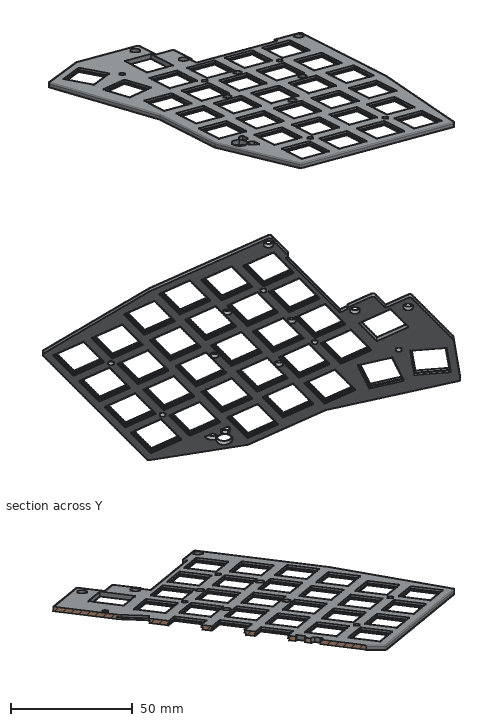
import cadquery as cq
thickness = 2.2
plate_length = 145.41
plate_width = 116.29
corner_radius = 1.0
top_fillet = 0.5

core_left = corner_radius
core_right = plate_length - corner_radius
core_bottom = corner_radius
core_top = plate_width - corner_radius
tab_left = 28.65
tab_bottom = 103.3
key_edge = 30.4
shelf_low = 61.15
shelf_high = 61.95
shelf_step = 24.7
shelf_left = 13.3
thumb_top = 53.1
thumb_slant_top = 22.6
thumb_corner = 12.1
bottom_edge = 16.5
bottom_edge_left = 67.55
bottom_edge_right = 105.8
right_edge_bottom = 31.0
right_edge_top = 107.75
top_edge_right = 87.25

core_outline = [
    (tab_left, core_top),
    (tab_left, tab_bottom),
    (key_edge, tab_bottom),
    (key_edge, shelf_low),
    (shelf_step, shelf_low),
    (shelf_step, shelf_high),
    (shelf_left, shelf_high),
    (shelf_left, thumb_top),
    (core_left, thumb_top),
    (core_left, thumb_slant_top),
    (thumb_corner, core_bottom),
    (bottom_edge_left, bottom_edge),
    (bottom_edge_right, bottom_edge),
    (core_right, right_edge_bottom),
    (core_right, right_edge_top),
    (top_edge_right, core_top),
]

key_size = 14.0
key_pitch = 19.05
stagger = key_pitch / 8
first_column_x = 39.15
tallest_column_y = 105.12
key_ledge_thickness = 1.2
key_relief_clearance = 0.5
columns = [(4, 2), (5, 1), (5, 0), (5, 1), (4, 3), (4, 3)]

thumb_keys = [(36.2, 21.86, 15.0), (15.36, 16.45, 27.0)]

display_length = 15.55
display_width = 13.2
display_centre = (18.83, 45.66)

large_hole_diameter = 4.1
large_holes = [(30.58, 113.14), (23.7, 59.68), (4.33, 49.34)]
medium_hole_diameter = 3.5
medium_holes = [(67.69, 87.97), (48.64, 68.92), (86.74, 68.92), (67.69, 49.87)]
small_hole_diameter = 2.5
small_holes = [(48.08, 90.73), (48.13, 52.68), (124.83, 88.37), (124.83, 50.27), (22.11, 29.67)]

head_centre = (112.18, 23.62)
head_half_length = 3.4
head_half_width = 3.2
ear_top = 5.7
ear_outer_corner = (5.75, ear_top)
ear_inner_corner = (2.2, ear_top)
ear_inner_bulge = (1.45, 4.8)
ear_wall_top = (1.35, 3.65)
ear_wall_bottom = (2.95, 2.0)
ear_outer_bulge = (5.05, 3.35)


def make_plate():
    plate = cq.Workplane("XY").polyline(core_outline).close().offset2D(corner_radius, "arc")
    return plate.extrude(thickness).faces(">Z").edges().fillet(top_fillet)


def window(centre, length, width, depth, angle=0.0):
    cutter = cq.Workplane("XY").rect(length, width).extrude(depth)
    return cutter.rotate((0, 0, 0), (0, 0, 1), angle).translate((*centre, 0))


def key_window(centre, angle=0.0):
    relief_size = key_size + 2 * key_relief_clearance
    relief_depth = thickness - key_ledge_thickness
    opening = window(centre, key_size, key_size, thickness, angle)
    return opening.union(window(centre, relief_size, relief_size, relief_depth, angle))


def key_centres():
    centres = []
    for column, (count, drop) in enumerate(columns):
        x = first_column_x + column * key_pitch
        top_y = tallest_column_y - drop * stagger
        centres += [(x, top_y - row * key_pitch) for row in range(count)]
    return centres


def holes(centres, diameter):
    return cq.Workplane("XY").pushPoints(centres).circle(diameter / 2).extrude(thickness)


def ear(side):
    def place(point):
        return (head_centre[0] + side * point[0], head_centre[1] + point[1])

    return (
        cq.Workplane("XY")
        .moveTo(*place(ear_outer_corner))
        .lineTo(*place(ear_inner_corner))
        .threePointArc(place(ear_inner_bulge), place(ear_wall_top))
        .lineTo(*place(ear_wall_bottom))
        .threePointArc(place(ear_outer_bulge), place(ear_outer_corner))
        .close()
        .extrude(thickness)
    )


def head():
    outline = cq.Workplane("XY").center(*head_centre).ellipse(head_half_length, head_half_width)
    return outline.extrude(thickness)


result = make_plate()
for centre in key_centres():
    result = result.cut(key_window(centre))
for x, y, angle in thumb_keys:
    result = result.cut(key_window((x, y), angle))
result = result.cut(window(display_centre, display_length, display_width, thickness))
result = result.cut(holes(large_holes, large_hole_diameter))
result = result.cut(holes(medium_holes, medium_hole_diameter))
result = result.cut(holes(small_holes, small_hole_diameter))
result = result.cut(head())
for side in (-1, 1):
    result = result.cut(ear(side))